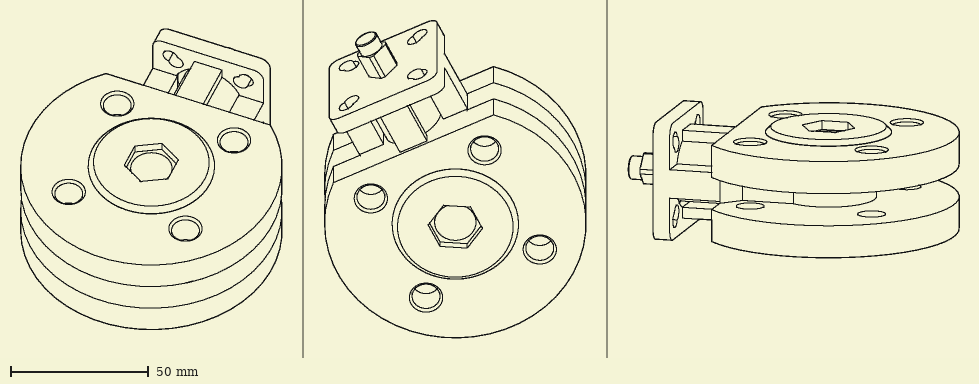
import cadquery as cq

DISC_DIAMETER = 94.9
OVERALL_LENGTH = 122.0
DISC_RADIUS = DISC_DIAMETER / 2
STEM_END_Y = OVERALL_LENGTH - DISC_RADIUS

DISC_INNER_Z = 6.0
DISC_OUTER_Z = 17.9
DISC_THICKNESS = DISC_OUTER_Z - DISC_INNER_Z
FLAT_Y = 34.8

FACE_DIAMETER = 45.9
FACE_HEIGHT = 2.1
FACE_CHAMFER = 2.0
FACE_Z = DISC_OUTER_Z + FACE_HEIGHT
BORE_DIAMETER = 15.0
HEX_ACROSS_CORNERS = 19.8
HEX_DEPTH = 3.3

BOLT_SPACING = 45.9
BOLT_DIAMETER = 10.1
BOLT_CHAMFER = 1.0

NECK_RADIUS = 17.5
NECK_HALF_WIDTH = 15.0
NECK_FLARE_Y = 28.0

PLATE_SIZE = 43.5
PLATE_INNER_Y = 53.7
PLATE_OUTER_Y = 60.0
PLATE_CORNER_RADIUS = 4.0

PLATE_HOLE_DIAMETER = 5.7
HOLE_SPACINGS = (25.5, 29.6)

HOUSING_DIAMETER = 22.0
RECESS_DIAMETER = 27.0
RECESS_DEPTH = 3.7
RECESS_FLOOR_Y = PLATE_INNER_Y + RECESS_DEPTH
SIDE_BAR_WIDTH = 9.8
SIDE_BAR_HEIGHT = 10.6
FACE_BAR_WIDTH = 10.9
FACE_BAR_OUTER_Z = 16.3
FACE_BAR_INNER_Z = 12.3

DRIVE_SQUARE = 9.2
DRIVE_CORNER_DIAMETER = 11.3
DRIVE_END_Y = 69.7
PIN_DIAMETER = 8.5
PIN_CHAMFER = 0.4


def y_cylinder(diameter, start_y, end_y):
    """Cylinder along the stem axis between two Y positions."""
    plane = cq.Workplane("XZ", origin=(0, start_y, 0))
    return plane.circle(diameter / 2).extrude(start_y - end_y)


def y_bar(width, height, start_y, end_y, x=0, z=0):
    """Rectangular bar along Y, centred at x and z."""
    middle_y = (start_y + end_y) / 2
    return cq.Workplane("XY").box(width, end_y - start_y, height).translate((x, middle_y, z))


def make_upper_flange():
    disc = cq.Workplane("XY").workplane(offset=DISC_INNER_Z).circle(DISC_RADIUS).extrude(DISC_THICKNESS)
    keep = y_bar(DISC_DIAMETER, 2 * DISC_OUTER_Z, -DISC_RADIUS, FLAT_Y)
    disc = disc.intersect(keep)
    bolts = (
        cq.Workplane("XY").workplane(offset=DISC_INNER_Z)
        .rect(BOLT_SPACING, BOLT_SPACING, forConstruction=True).vertices()
        .circle(BOLT_DIAMETER / 2).extrude(DISC_THICKNESS)
    )
    disc = disc.cut(bolts)
    disc = disc.faces(">Z").edges("%CIRCLE").edges(
        cq.selectors.RadiusNthSelector(0)
    ).chamfer(BOLT_CHAMFER)
    face = (
        cq.Workplane("XY").workplane(offset=DISC_OUTER_Z)
        .circle(FACE_DIAMETER / 2).extrude(FACE_HEIGHT)
        .faces(">Z").edges().chamfer(FACE_CHAMFER)
    )
    return disc.union(face)


def make_neck():
    """Round neck with flat shoulders that flare out to the plate width."""
    height = 2 * DISC_INNER_Z
    bottom = cq.Workplane("XY").workplane(offset=-DISC_INNER_Z)
    shoulder_y = (NECK_RADIUS**2 - NECK_HALF_WIDTH**2) ** 0.5
    half_plate = PLATE_SIZE / 2
    return (
        bottom.moveTo(-NECK_HALF_WIDTH, shoulder_y)
        .threePointArc((0, -NECK_RADIUS), (NECK_HALF_WIDTH, shoulder_y))
        .lineTo(NECK_HALF_WIDTH, NECK_FLARE_Y)
        .lineTo(half_plate, FLAT_Y)
        .lineTo(-half_plate, FLAT_Y)
        .lineTo(-NECK_HALF_WIDTH, NECK_FLARE_Y)
        .close().extrude(height)
    )


def make_plate():
    plate = y_bar(PLATE_SIZE, PLATE_SIZE, PLATE_INNER_Y, PLATE_OUTER_Y)
    plate = plate.edges("|Y").fillet(PLATE_CORNER_RADIUS)
    for spacing in HOLE_SPACINGS:
        holes = (
            cq.Workplane("XZ", origin=(0, PLATE_INNER_Y, 0))
            .rect(spacing, spacing, forConstruction=True).vertices()
            .circle(PLATE_HOLE_DIAMETER / 2).extrude(PLATE_INNER_Y - PLATE_OUTER_Y)
        )
        plate = plate.cut(holes)
    return plate.cut(y_cylinder(RECESS_DIAMETER, PLATE_INNER_Y, RECESS_FLOOR_Y))


def make_supports():
    supports = y_cylinder(HOUSING_DIAMETER, FLAT_Y, RECESS_FLOOR_Y)
    side_x = (PLATE_SIZE - SIDE_BAR_WIDTH) / 2
    face_z = (FACE_BAR_OUTER_Z + FACE_BAR_INNER_Z) / 2
    face_height = FACE_BAR_OUTER_Z - FACE_BAR_INNER_Z
    for side in (-1, 1):
        side_bar = y_bar(SIDE_BAR_WIDTH, SIDE_BAR_HEIGHT, FLAT_Y, PLATE_INNER_Y, x=side * side_x)
        face_bar = y_bar(FACE_BAR_WIDTH, face_height, FLAT_Y, PLATE_INNER_Y, z=side * face_z)
        supports = supports.union(side_bar).union(face_bar)
    return supports


def make_stem():
    drive = y_bar(DRIVE_SQUARE, DRIVE_SQUARE, PLATE_OUTER_Y, DRIVE_END_Y)
    drive = drive.rotate((0, 0, 0), (0, 1, 0), 45)
    drive = drive.intersect(y_cylinder(DRIVE_CORNER_DIAMETER, PLATE_OUTER_Y, DRIVE_END_Y))
    pin = y_cylinder(PIN_DIAMETER, DRIVE_END_Y, STEM_END_Y)
    return drive.union(pin.faces(">Y").edges().chamfer(PIN_CHAMFER))


def make_hex_socket():
    """Hexagon with two corners on the Y axis, sunk into the upper raised face."""
    socket = cq.Workplane("XY").workplane(offset=FACE_Z - HEX_DEPTH)
    socket = socket.polygon(6, HEX_ACROSS_CORNERS).extrude(HEX_DEPTH)
    return socket.rotate((0, 0, 0), (0, 0, 1), 90)


upper_flange = make_upper_flange().cut(make_hex_socket())
body = make_neck().union(upper_flange).union(upper_flange.mirror("XY"))
body = body.union(make_supports()).union(make_plate()).union(make_stem())
bore = cq.Workplane("XY").circle(BORE_DIAMETER / 2).extrude(FACE_Z, both=True)
result = body.cut(bore)